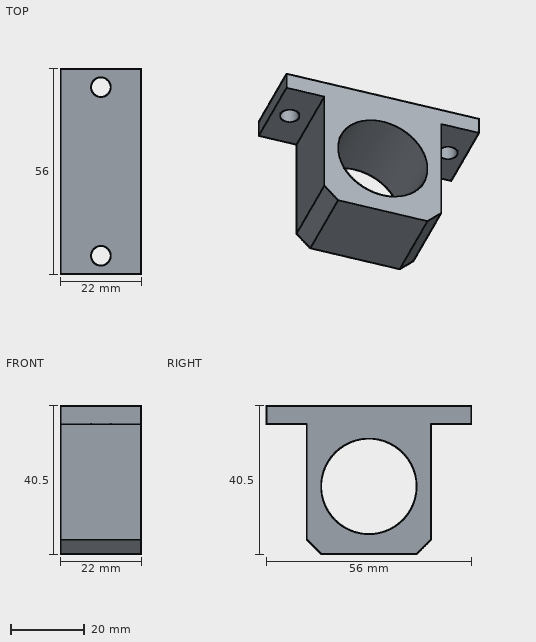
import cadquery as cq

depth = 22.0
flange_width = 56.0
flange_thickness = 5.0
total_height = 40.5
body_width = 34.0
bottom_chamfer = 4.0
bore_diameter = 26.0
bore_axis_to_top = 22.0
screw_hole_diameter = 5.3
screw_hole_spacing = 46.0

top_z = bore_axis_to_top
flange_bottom_z = top_z - flange_thickness
bottom_z = top_z - total_height


def make_flange():
    """Mounting plate across the top of the block."""
    return (
        cq.Workplane("XY")
        .workplane(offset=flange_bottom_z)
        .rect(depth, flange_width)
        .extrude(flange_thickness)
    )


def make_body():
    """Bearing block below the flange, chamfered along its two lower edges."""
    return (
        cq.Workplane("XY")
        .workplane(offset=bottom_z)
        .rect(depth, body_width)
        .extrude(flange_bottom_z - bottom_z)
        .faces("<Z")
        .edges("|X")
        .chamfer(bottom_chamfer)
    )


def make_bore():
    """Through bore along X."""
    return (
        cq.Workplane("YZ")
        .workplane(offset=-depth / 2)
        .circle(bore_diameter / 2)
        .extrude(depth)
    )


def make_screw_holes():
    """Two vertical through holes, one in each flange ear."""
    half_spacing = screw_hole_spacing / 2
    return (
        cq.Workplane("XY")
        .workplane(offset=flange_bottom_z)
        .pushPoints([(0, -half_spacing), (0, half_spacing)])
        .circle(screw_hole_diameter / 2)
        .extrude(flange_thickness)
    )


result = make_flange().union(make_body()).cut(make_bore()).cut(make_screw_holes())